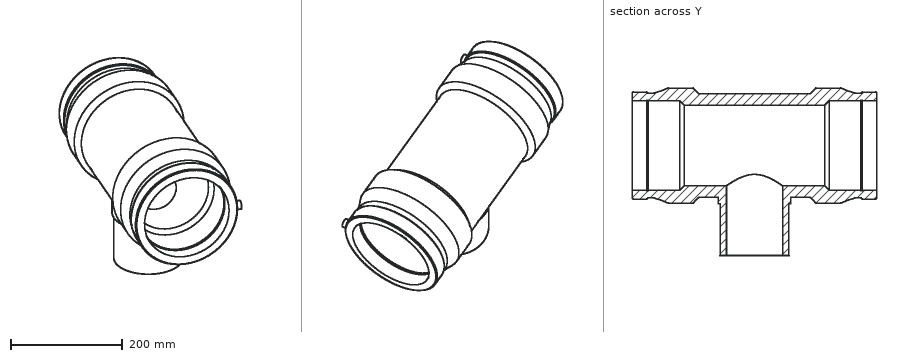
import cadquery as cq

socket_d = 160.0
stop_bore_d = 144.0
pipe_d = 187.2
bell_d = 208.0
end_ring_d = 193.44
neck_d = 189.57
run_length = 440.0

end_ring_width = 28.3
neck_end = 39.5
bell_start = 65.0
bell_end = 110.0
pipe_start = 119.5
socket_depth = 85.5
groove_start = 26.0
groove_end = 29.5
groove_d = 161.5

branch_d = 125.0
branch_bore_d = 100.0
collar_d = 131.25
collar_bottom = 105.0
branch_bottom = 198.0

terminal_d = 16.0
terminal_tip = 106.0

half_length = run_length / 2
ring_chamfer = (end_ring_d - neck_d) / 2
terminal_root = (socket_d + end_ring_d) / 4
stop_drop = (socket_d - stop_bore_d) / 2


def revolve_run(half_profile):
    """Solid of revolution about X from (distance from end face, diameter) pairs, mirrored about X = 0."""
    left = [(depth - half_length, diameter / 2) for depth, diameter in half_profile]
    right = [(-x, radius) for x, radius in reversed(left)]
    outline = [(-half_length, 0)] + left + right + [(half_length, 0)]
    return cq.Workplane("XY").polyline(outline).close().revolve(360, (0, 0, 0), (1, 0, 0))


def run_body():
    """Outside of the run: chamfered end rings, necks, flared bells and the middle pipe."""
    return revolve_run([
        (0, neck_d),
        (ring_chamfer, end_ring_d),
        (end_ring_width - ring_chamfer, end_ring_d),
        (end_ring_width, neck_d),
        (neck_end, neck_d),
        (bell_start, bell_d),
        (bell_end, bell_d),
        (pipe_start, pipe_d),
    ])


def run_bore():
    """Inside of the run: sockets narrowing through a 45 degree stop to the middle bore."""
    return revolve_run([
        (0, socket_d),
        (groove_start, socket_d),
        (groove_start, groove_d),
        (groove_end, groove_d),
        (groove_end, socket_d),
        (socket_depth, socket_d),
        (socket_depth + stop_drop, stop_bore_d),
    ])


def down_cylinder(diameter, length):
    """Cylinder from the run axis straight down."""
    return cq.Workplane("XY").circle(diameter / 2).extrude(-length)


def terminal(x):
    """Round terminal at the given X, standing on an end ring and rooted inside the socket wall."""
    return (
        cq.Workplane("XZ", origin=(x, terminal_root, 0))
        .circle(terminal_d / 2)
        .extrude(terminal_root - terminal_tip)
    )


result = run_body()
result = result.union(down_cylinder(collar_d, collar_bottom))
result = result.union(down_cylinder(branch_d, branch_bottom))
for side in (-1, 1):
    result = result.union(terminal(side * (half_length - end_ring_width / 2)))
result = result.cut(run_bore())
result = result.cut(down_cylinder(branch_bore_d, branch_bottom))